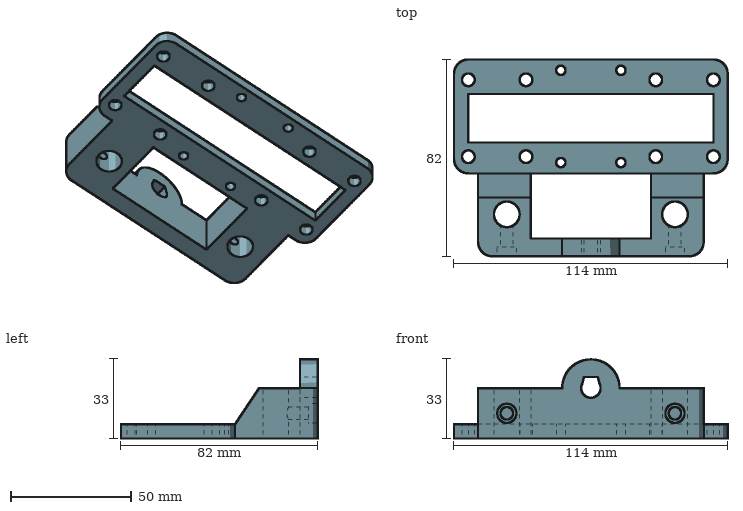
import cadquery as cq

overall_depth = 82.0
corner_radius = 6.0

plate_width = 114.0
plate_depth = 47.5
plate_thickness = 6.0
plate_front_y = overall_depth - plate_depth
plate_centre_y = plate_front_y + plate_depth / 2

window_width = 102.0
window_depth = 20.0
window_centre_y = 57.5

mount_hole_diameter = 5.2
mount_outer_spacing_x = window_width
mount_inner_spacing_x = 54.0
mount_spacing_y = 32.0
small_hole_diameter = 3.8
small_spacing_x = 25.0
small_spacing_y = 38.4

block_width = 94.0
block_height = 21.0
slope_length = 10.0
block_top_depth = plate_front_y - slope_length
arm_gap = 50.0
wall_thickness = 7.5

boss_radius = 12.0
boss_centre_z = block_height
bore_diameter = 8.0
bore_flat_height = 4.55
bore_flat_width = 5.7

rod_spacing_x = 70.0
rod_hole_diameter = 10.6
rod_hole_y = 17.5
screw_hole_diameter = 5.2
screw_hole_z = 10.5
counterbore_diameter = 8.0
counterbore_depth = 4.0


def make_plate():
    """Flange plate with rounded vertical corners."""
    return (
        cq.Workplane("XY")
        .center(0, plate_centre_y)
        .rect(plate_width, plate_depth)
        .extrude(plate_thickness)
        .edges("|Z")
        .fillet(corner_radius)
    )


def make_block():
    """Side profile swept across the width, with the gap between the arms removed."""
    profile = [
        (0, 0),
        (plate_front_y, 0),
        (plate_front_y, plate_thickness),
        (block_top_depth, block_height),
        (0, block_height),
    ]
    block = cq.Workplane("YZ").polyline(profile).close().extrude(block_width / 2, both=True)
    block = block.edges("|Z and <Y").fillet(corner_radius)
    gap = (
        cq.Workplane("XY")
        .center(0, (wall_thickness + plate_front_y) / 2)
        .rect(arm_gap, plate_front_y - wall_thickness)
        .extrude(block_height)
    )
    return block.cut(gap)


def cylinder_from_front(diameter, depth, x, z):
    """Cylinder along +Y that starts at the front face."""
    axis = cq.Vector(0, 1, 0)
    return cq.Workplane(cq.Solid.makeCylinder(diameter / 2, depth, cq.Vector(x, 0, z), axis))


def make_bore():
    """Round bore whose upper half narrows to a flat roof."""
    roof_z = boss_centre_z + bore_flat_height
    roof = (
        cq.Workplane("XZ")
        .polyline([
            (-bore_diameter / 2, boss_centre_z),
            (bore_diameter / 2, boss_centre_z),
            (bore_flat_width / 2, roof_z),
            (-bore_flat_width / 2, roof_z),
        ])
        .close()
        .extrude(-wall_thickness)
    )
    return cylinder_from_front(bore_diameter, wall_thickness, 0, boss_centre_z).union(roof)


def plate_holes(diameter, spacing_x, spacing_y, centre_y):
    """Four through-hole cutters on the corners of a rectangle."""
    return (
        cq.Workplane("XY")
        .center(0, centre_y)
        .rect(spacing_x, spacing_y, forConstruction=True)
        .vertices()
        .circle(diameter / 2)
        .extrude(plate_thickness)
    )


def make_window():
    """Rectangular cutter for the plate window."""
    return (
        cq.Workplane("XY")
        .center(0, window_centre_y)
        .rect(window_width, window_depth)
        .extrude(plate_thickness)
    )


def make_rod_cutter(x):
    """Vertical rod hole with its counterbored screw hole."""
    rod = cq.Workplane("XY").center(x, rod_hole_y).circle(rod_hole_diameter / 2).extrude(block_height)
    screw = cylinder_from_front(screw_hole_diameter, rod_hole_y, x, screw_hole_z)
    counterbore = cylinder_from_front(counterbore_diameter, counterbore_depth, x, screw_hole_z)
    return rod.union(screw).union(counterbore)


boss = cylinder_from_front(2 * boss_radius, wall_thickness, 0, boss_centre_z)
result = make_plate().union(make_block()).union(boss)

result = result.cut(make_bore())
result = result.cut(make_window())
for mount_spacing_x in (mount_outer_spacing_x, mount_inner_spacing_x):
    result = result.cut(plate_holes(mount_hole_diameter, mount_spacing_x, mount_spacing_y, window_centre_y))
result = result.cut(plate_holes(small_hole_diameter, small_spacing_x, small_spacing_y, plate_centre_y))
for rod_x in (-rod_spacing_x / 2, rod_spacing_x / 2):
    result = result.cut(make_rod_cutter(rod_x))